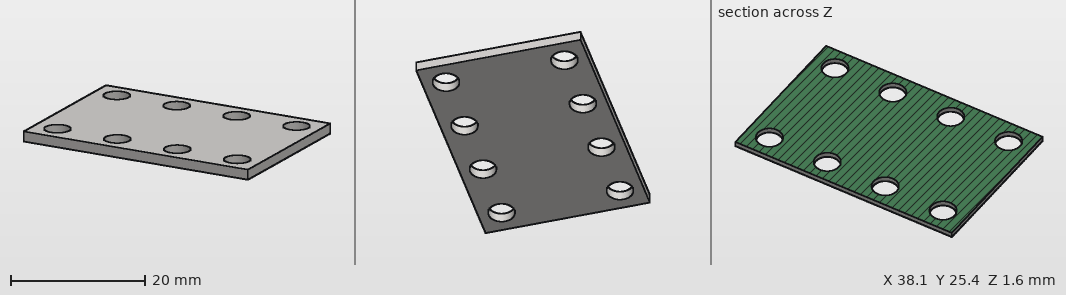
import cadquery as cq

length = 38.1
width = 25.4
thickness = 1.6

hole_diameter = 4.0
holes_per_row = 4
row_count = 2
hole_pitch = 10.17
row_spacing = 18.3

plate = cq.Workplane("XY").box(length, width, thickness)

result = (
    plate.faces(">Z")
    .workplane()
    .rarray(hole_pitch, row_spacing, holes_per_row, row_count)
    .hole(hole_diameter)
)